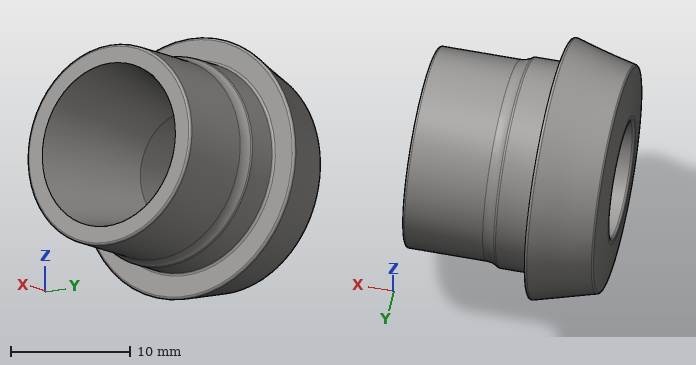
import cadquery as cq
import math


total_length = 17.0
head_length = 6.0
collar_end = 9.0
bore_length = 6.0

bore_radius = 5.0
flat_outer_radius = 5.5
head_radius = 11.19
collar_radius = 9.0
tube_radius = 8.6
flare_end_radius = 7.0

face_angle = math.radians(5.0)
flank_angle = math.radians(15.0)
edge_round = 0.2
collar_round = 0.3
neck_round = 1.7

round_centre_radius = head_radius - edge_round
flank_rear_radius = (
    round_centre_radius + edge_round / math.cos(flank_angle) + edge_round * math.tan(flank_angle)
)

flank_front_radius = flank_rear_radius - head_length * math.tan(flank_angle)
head_corner_x = (
    (flank_front_radius - flat_outer_radius) * math.tan(face_angle)
    / (1.0 - math.tan(face_angle) * math.tan(flank_angle))
)
head_corner_radius = flank_front_radius + head_corner_x * math.tan(flank_angle)

neck_sweep = math.acos(1.0 - (collar_radius - tube_radius) / neck_round)
neck_end = collar_end + neck_round * math.sin(neck_sweep)
neck_centre_radius = tube_radius + neck_round
neck_mid_x = neck_end - neck_round * math.sin(neck_sweep / 2)
neck_mid_radius = neck_centre_radius - neck_round * math.cos(neck_sweep / 2)


def turned_blank():
    """Revolve the half section, with sharp corners, about the X axis."""
    section = (
        cq.Workplane("XZ")
        .moveTo(0, bore_radius)
        .lineTo(0, flat_outer_radius)
        .lineTo(head_corner_x, head_corner_radius)
        .lineTo(head_length, flank_rear_radius)
        .lineTo(head_length, collar_radius)
        .lineTo(collar_end, collar_radius)
        .threePointArc((neck_mid_x, neck_mid_radius), (neck_end, tube_radius))
        .lineTo(total_length, tube_radius)
        .lineTo(total_length, flare_end_radius)
        .lineTo(bore_length, bore_radius)
        .close()
    )
    return section.revolve(360, (0, 0, 0), (1, 0, 0))


def round_edge(body, x, radius, size):
    """Round the circular edge of the given radius that lies in the plane at x."""
    tolerance = 0.01
    reach = radius + tolerance
    inner_reach = radius - tolerance
    zone = cq.selectors.BoxSelector(
        (x - tolerance, -reach, -reach), (x + tolerance, reach, reach), boundingbox=True
    )
    core = cq.selectors.BoxSelector(
        (x - tolerance, -inner_reach, -inner_reach),
        (x + tolerance, inner_reach, inner_reach),
        boundingbox=True,
    )
    return body.edges(zone - core).fillet(size)


rounded_edges = [
    (0, bore_radius, edge_round),
    (head_corner_x, head_corner_radius, edge_round),
    (head_length, flank_rear_radius, edge_round),
    (head_length, collar_radius, edge_round),
    (collar_end, collar_radius, collar_round),
    (total_length, tube_radius, edge_round),
]

result = turned_blank()
for x, radius, size in rounded_edges:
    result = round_edge(result, x, radius, size)